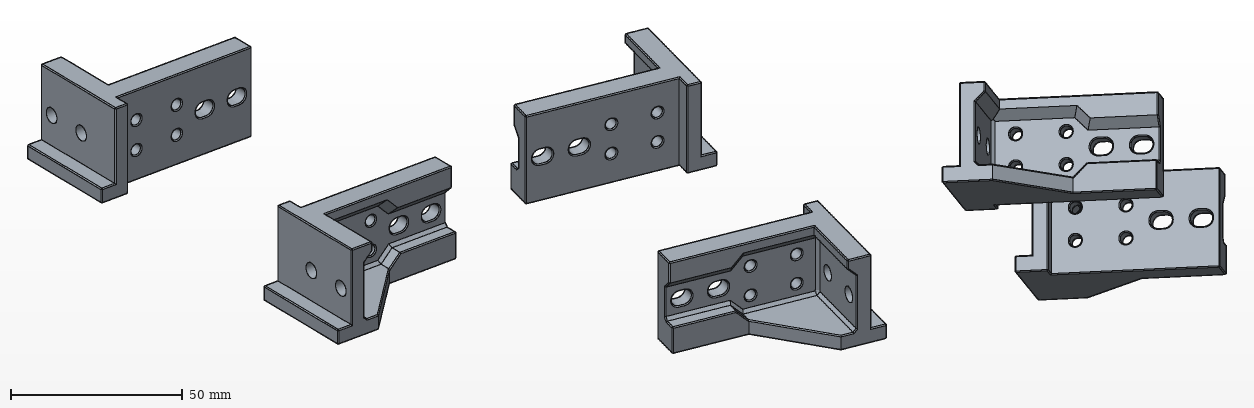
import cadquery as cq
import math

overall_width = 146.0
depth = 60.0
height = 30.0

flange_width = 35.0
toe_depth = 5.1
toe_height = 5.0
flange_back = 10.0

stem_inner_face = 30.0
web_thickness = 5.0
web_face = stem_inner_face - web_thickness

rail_outer_face = 20.0
gusset_front = 15.0
gusset_back = gusset_front + rail_outer_face
gusset_height = 5.0
rail_height = 9.0
rail_rise = rail_height - gusset_height
fill_size = 1.0

lip_width = 2.9
lip_front_height = 24.0
lip_rear_height = 20.0
lip_step_start = 34.6
lip_step_rise = lip_front_height - lip_rear_height
lip_step_angle = 45.0

hole_height = height / 2
flange_hole_diameter = 5.0
flange_hole_positions = (5.1, 19.0)
web_hole_diameter = 3.5
web_hole_center = 24.5
web_hole_spacing_y = 15.0
web_hole_spacing_z = 10.0
slot_width = 5.0
slot_length = 6.5
slot_positions = (42.5, 54.5)

edge_break = 0.35

angle_tolerance = 0.01
probe_distance = 0.07

margin = 0.5


def block(x_range, y_range, z_range):
    """Axis-aligned box between the given limits."""
    sizes = [high - low for low, high in (x_range, y_range, z_range)]
    corner = (x_range[0], y_range[0], z_range[0])
    return cq.Workplane("XY").box(*sizes, centered=False).translate(corner)


def make_shelf():
    """Gusset and rail: a stepped side profile trimmed to the angled footprint."""
    profile = (
        cq.Workplane("YZ")
        .moveTo(flange_back, 0)
        .lineTo(depth, 0)
        .lineTo(depth, rail_height)
        .lineTo(gusset_back + rail_rise, rail_height)
        .lineTo(gusset_back, gusset_height)
        .lineTo(flange_back, gusset_height)
        .close()
        .extrude(web_face)
    )
    footprint = (
        cq.Workplane("XY")
        .moveTo(0, flange_back)
        .lineTo(web_face, flange_back)
        .lineTo(web_face, depth)
        .lineTo(rail_outer_face, depth)
        .lineTo(rail_outer_face, gusset_back)
        .lineTo(0, gusset_front)
        .close()
        .extrude(height)
    )
    return profile.intersect(footprint)


def fill_inner_corners(body):
    """Add 45 degree fills where the web, the flange and the shelf meet."""
    web_foot = cq.selectors.BoxSelector(
        (web_face - margin, flange_back - margin, gusset_height - margin),
        (web_face + margin, depth + margin, height + margin),
        boundingbox=True,
    )
    flange_foot = cq.selectors.BoxSelector(
        (-margin, flange_back - margin, gusset_height - margin),
        (web_face + margin, flange_back + margin, gusset_height + margin),
        boundingbox=True,
    )
    top_edges = cq.selectors.BoxSelector(
        (-margin, -margin, height - margin),
        (flange_width + margin, depth + margin, height + margin),
        boundingbox=True,
    )
    rear_edges = cq.selectors.BoxSelector(
        (-margin, depth - margin, -margin),
        (flange_width + margin, depth + margin, height + margin),
        boundingbox=True,
    )
    return body.edges(web_foot + flange_foot - top_edges - rear_edges).chamfer(fill_size)


def lip_opening_points(spread):
    """Corners of the opening under the stem lip, moved outward along X and up by spread."""
    corner_shift = spread * math.tan(math.radians(lip_step_angle / 2))
    low_edge = lip_rear_height + spread
    high_edge = lip_front_height + spread
    outline = [
        (0, 0),
        (depth, 0),
        (depth, low_edge),
        (lip_step_start + lip_step_rise + corner_shift, low_edge),
        (lip_step_start + corner_shift, high_edge),
        (0, high_edge),
    ]
    return [cq.Vector(web_face - spread, y, z) for y, z in outline]


def solid_between(end_a, end_b):
    """Solid with flat sides between two outlines that have matching corners."""
    sides = [(end_a[i - 1], end_a[i], end_b[i], end_b[i - 1]) for i in range(len(end_a))]
    faces = [
        cq.Face.makeFromWires(cq.Wire.makePolygon(corners, close=True))
        for corners in [end_a, end_b] + sides
    ]
    return cq.Solid.makeSolid(cq.Shell.makeShell(faces))


def make_stem_lip():
    """Lip along the web: a bar whose underside is cut by an opening that widens outward."""
    bar = block((web_face - lip_width, web_face), (flange_back, depth), (lip_rear_height, height))
    return bar.cut(solid_between(lip_opening_points(0), lip_opening_points(lip_width)))


def make_flange_lip():
    """Lip along the back of the flange, with the same sloped underside."""
    return (
        cq.Workplane("YZ")
        .moveTo(flange_back, lip_front_height)
        .lineTo(flange_back + lip_width, lip_front_height + lip_width)
        .lineTo(flange_back + lip_width, height)
        .lineTo(flange_back, height)
        .close()
        .extrude(web_face)
    )


def make_flange_holes():
    """Two through holes along Y."""
    return (
        cq.Workplane("XZ")
        .pushPoints([(x, hole_height) for x in flange_hole_positions])
        .circle(flange_hole_diameter / 2)
        .extrude(-flange_back - margin)
    )


def make_web_openings():
    """Four round holes and two slots along X through the web."""
    web_plane = cq.Workplane("YZ", origin=(web_face, 0, 0))
    slots = (
        web_plane.pushPoints([(y, hole_height) for y in slot_positions])
        .slot2D(slot_length, slot_width)
        .extrude(web_thickness)
    )
    holes = (
        web_plane.center(web_hole_center, hole_height)
        .rarray(web_hole_spacing_y, web_hole_spacing_z, 2, 2)
        .circle(web_hole_diameter / 2)
        .extrude(web_thickness)
    )
    return holes.union(slots)


def break_opening_rims(body):
    """Small bevel around every opening in the faces square to X."""
    rims = [
        edge
        for face in body.faces("|X").vals()
        for wire in face.innerWires()
        for edge in wire.Edges()
    ]
    return body.newObject(rims).chamfer(edge_break)


def is_square_corner(body, edge):
    """True for a straight outer edge between two faces at right angles."""
    if edge.geomType() != "LINE":
        return False
    middle = edge.positionAt(0.5)
    normal_a, normal_b = [face.normalAt(middle) for face in edge.ancestors(body, "Face")]
    if abs(normal_a.dot(normal_b)) > angle_tolerance:
        return False
    return not body.isInside(middle + (normal_a - normal_b) * probe_distance)


def break_edges(body):
    """Small bevel along every square outer edge, the angled gusset edges first."""
    body = body.edges(cq.selectors.ParallelDirSelector(cq.Vector(1, 1, 0))).chamfer(edge_break)
    solid = body.solids().val()
    corners = [edge for edge in solid.Edges() if is_square_corner(solid, edge)]
    return cq.Workplane(solid).newObject(corners).chamfer(edge_break)


def make_bracket():
    """One bracket, with its outer side on X = 0 and its front on Y = 0."""
    toe = block((0, flange_width), (0, flange_back), (0, toe_height))
    flange = block((0, flange_width), (toe_depth, flange_back), (0, height))
    web = block((web_face, stem_inner_face), (toe_depth, depth), (0, height))
    body = toe.union(flange).union(web).union(make_shelf())
    body = fill_inner_corners(body)
    body = body.union(make_stem_lip()).union(make_flange_lip()).clean()
    body = break_edges(body)
    body = break_opening_rims(body.cut(make_web_openings()))
    return body.cut(make_flange_holes())


left_bracket = make_bracket().translate((-overall_width / 2, 0, 0))
right_bracket = left_bracket.mirror("YZ")

result = cq.Compound.makeCompound([left_bracket.solids().val(), right_bracket.solids().val()])